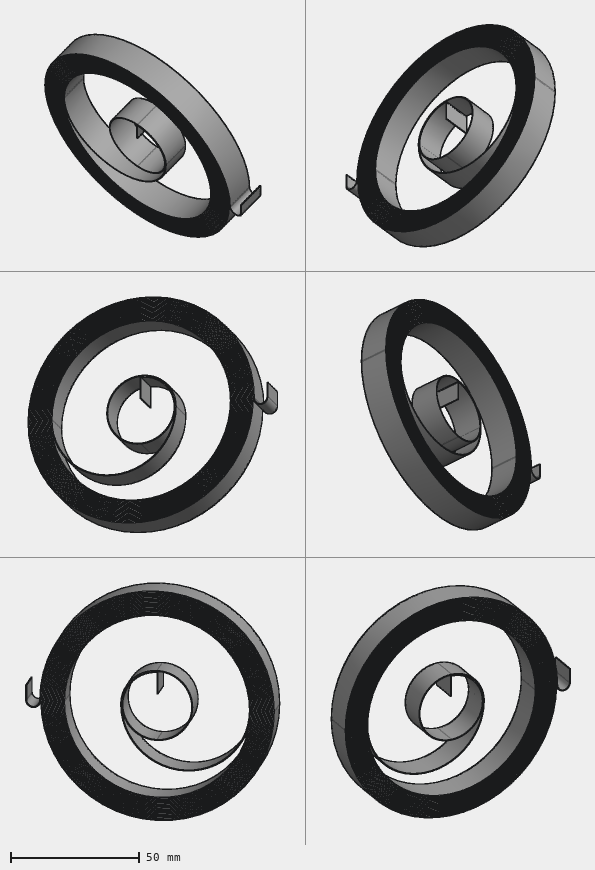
import cadquery as cq
import math

overall_width = 98.45
strip_width = 12.0
strip_thickness = 0.44
turn_gap = 0.007

coil_outer_radius = 46.5
coil_half_turns = 43
core_radius = 14.2
hook_leg_length = 5.9
tongue_tip_z = 4.9

half_thickness = strip_thickness / 2
turn_pitch = strip_thickness + turn_gap
half_turn_step = turn_pitch / 2


def build_winding():
    """List the strip centreline as (centre, radius, start angle, sweep), from outside to inside.

    Every arc meets the next one tangentially: on the X axis in the coil, on the Z axis in the core.
    """
    arcs = []

    coil_radius = coil_outer_radius - half_thickness
    leg_x = overall_width - coil_outer_radius - half_thickness
    hook_radius = (leg_x - coil_radius) / 2
    arcs.append(((leg_x - hook_radius, 0), hook_radius, 0, -math.pi))

    x = coil_radius
    for index in range(coil_half_turns):
        radius = coil_radius - index * half_turn_step
        side = 1 if index % 2 == 0 else -1
        centre_x = x - side * radius
        arcs.append(((centre_x, 0), radius, 0 if side == 1 else math.pi, math.pi))
        x = centre_x - side * radius

    connecting_radius = (core_radius - x) / 2
    arcs.append(((x + connecting_radius, 0), connecting_radius, math.pi, math.pi))

    left_radius = core_radius - half_turn_step
    arcs.append(((0, 0), core_radius, 0, math.pi / 2))
    arcs.append(((0, half_turn_step), left_radius, math.pi / 2, math.pi))
    arcs.append(((0, 0), core_radius - turn_pitch, -math.pi / 2, math.pi))
    return arcs


def arc_point(centre, radius, angle):
    centre_x, centre_z = centre
    return (centre_x + radius * math.cos(angle), centre_z + radius * math.sin(angle))


def draw_left_side(outline, arcs):
    """Continue the outline along the strip face on the left of the direction of travel."""
    for centre, radius, start, sweep in arcs:
        side_radius = radius - math.copysign(half_thickness, sweep)
        middle = arc_point(centre, side_radius, start + sweep / 2)
        end = arc_point(centre, side_radius, start + sweep)
        outline = outline.threePointArc(middle, end)
    return outline


def reverse_winding(arcs):
    return [(centre, radius, start + sweep, -sweep) for centre, radius, start, sweep in reversed(arcs)]


def draw_tongue(outline, fold_x, fold_z):
    """Go down the tongue, back up and around the fold, which pivots on (fold_x, fold_z)."""
    far_x = fold_x - strip_thickness
    diagonal = strip_thickness * math.sqrt(0.5)
    outline = outline.lineTo(fold_x, tongue_tip_z)
    outline = outline.lineTo(far_x, tongue_tip_z)
    outline = outline.lineTo(far_x, fold_z)
    return outline.threePointArc((fold_x - diagonal, fold_z + diagonal), (fold_x, fold_z + strip_thickness))


def build_spring():
    arcs = build_winding()
    (hook_x, _), hook_radius, _, _ = arcs[0]
    (fold_x, _), core_end_radius, _, _ = arcs[-1]
    leg_outer_x = hook_x + hook_radius + half_thickness
    leg_inner_x = leg_outer_x - strip_thickness

    outline = cq.Workplane("XZ").moveTo(leg_outer_x, hook_leg_length)
    outline = outline.lineTo(leg_outer_x, 0)
    outline = draw_left_side(outline, arcs)
    outline = draw_tongue(outline, fold_x, core_end_radius - half_thickness)
    outline = draw_left_side(outline, reverse_winding(arcs))
    outline = outline.lineTo(leg_inner_x, hook_leg_length)
    return outline.close().extrude(strip_width / 2, both=True)


result = build_spring()